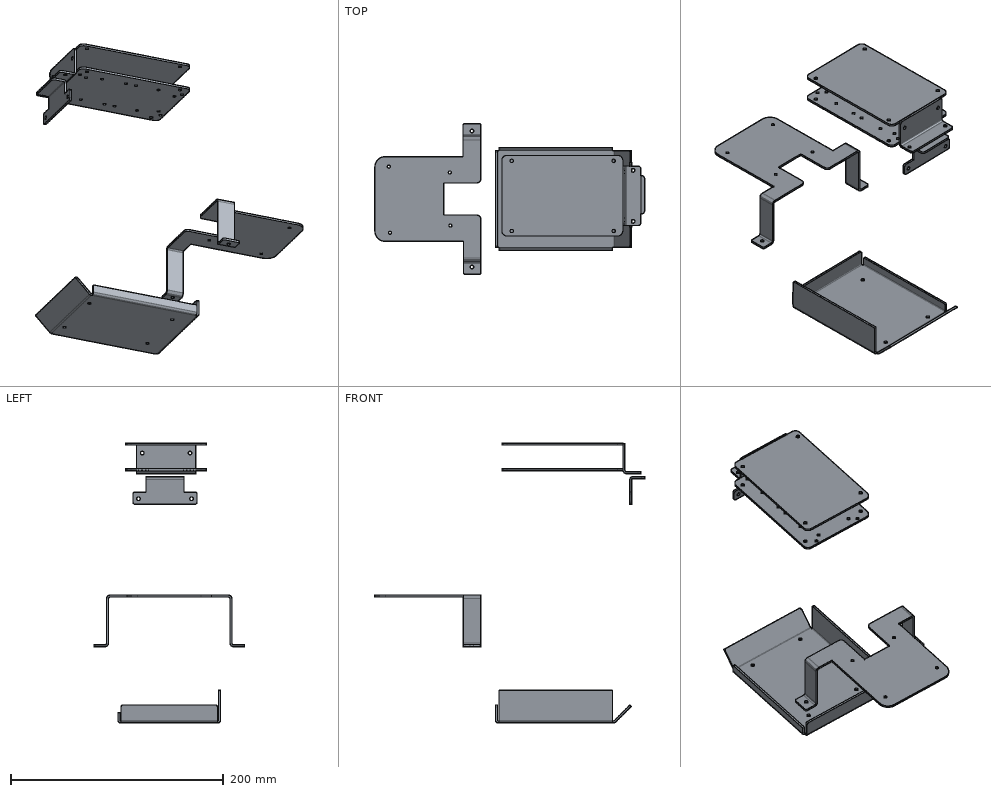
import cadquery as cq
import math


sheet = 2.0
wide_bend = 1.5
tight_bend = 0.5
small_hole = 2.7
medium_hole = 2.8
screw_hole = 3.2
total_height = 263.56

hat_length = 100.0
hat_width = 142.0
hat_height = 48.8
hat_top = 120.5
hat_leg_outer = 59.1
hat_plate_width = 80.0
hat_plate_radius = 10.0
hat_back_arm_width = 17.0
hat_front_arm_width = 16.5
hat_arm_radius = 4.0
hat_notch_depth = 35.0
hat_notch_width = 30.0
hat_foot_radius = 1.5
hat_foot_hole_y = 64.0
hat_board_holes = [(13.3, 30.5), (14.4, -31.9), (70.8, 25.0), (71.3, -25.0)]

tray_left = 113.6
tray_wall_start = 117.0
tray_wall_end = 224.0
tray_width = 96.7
tray_end_width = 91.2
tray_front_height = 31.0
tray_back_height = 10.0
tray_end_height = 17.0
tray_corner_radius = 1.0
tray_end_radius = 2.0
flap_bend_x = 226.1
flap_length = 22.0
flap_angle = math.radians(45)
tray_hole_x = (133.5, 219.2)
tray_hole_pitch_y = 57.0

plate_length = 114.0
plate_width = 76.0
plate_radius = 5.0
plate_x = 176.6
plate_y = 3.15
plate_gap = 22.15
plate_hole_x = 177.0
plate_hole_y = 2.9
plate_hole_pitch_x = 96.0
plate_hole_pitch_y = 66.0
upper_plate_top = total_height
lower_plate_top = upper_plate_top - sheet - plate_gap
board_pitch_x = 58.0
board_pitch_y = 49.0
board_centers = (-25.0, -0.5, 22.5)
left_pair = (-49.0, 17.8)
right_pair = (43.6, 21.0)

z_bracket_left = plate_x + plate_length / 2
z_bracket_y = 2.95
z_bracket_width = 56.0
z_bracket_drop = 0.5
z_bracket_top = upper_plate_top - z_bracket_drop
z_bracket_height = 28.5
z_foot_length = 17.0
z_corner_radius = 2.5
z_foot_hole_x = 243.3
z_foot_hole_pitch = 48.0
z_leg_hole_z = 254.1
z_leg_hole_pitch = 45.0

l_bracket_left = 240.1
l_bracket_right = 254.26
l_bracket_y = 4.0
l_bracket_top = 231.9
l_bracket_height = 26.0
l_tab_width = 36.0
l_tab_radius = 3.0
l_base_width = 60.5
l_base_height = 11.5
l_base_radius = 2.0
l_hole_pitch = 50.0
l_hole_height = 5.2


def rounded_outline(plane, corners):
    """Closed wire through (x, y, radius) corners; each corner with a radius gets a tangent arc."""
    stretches = []
    for index, (x, y, radius) in enumerate(corners):
        corner = cq.Vector(x, y)
        before = corners[index - 1]
        after = corners[(index + 1) % len(corners)]
        to_before = (cq.Vector(before[0], before[1]) - corner).normalized()
        to_after = (cq.Vector(after[0], after[1]) - corner).normalized()
        half_angle = to_before.getAngle(to_after) / 2
        setback = radius / math.tan(half_angle)
        bulge = radius / math.sin(half_angle) - radius
        middle = corner + (to_before + to_after).normalized() * bulge
        stretches.append((corner + to_before * setback, middle, corner + to_after * setback, radius))
    outline = cq.Workplane(plane).moveTo(*stretches[0][0].toTuple()[:2])
    for index, (start, middle, end, radius) in enumerate(stretches):
        if index > 0:
            outline = outline.lineTo(start.x, start.y)
        if radius > 0:
            outline = outline.threePointArc((middle.x, middle.y), (end.x, end.y))
    return outline.close()


def vertical_holes(points, diameter, bottom, top):
    """Cylinders along Z through the given (x, y) points."""
    drills = cq.Workplane("XY", origin=(0, 0, bottom)).pushPoints(points)
    return drills.circle(diameter / 2).extrude(top - bottom)


def lengthwise_holes(points, diameter, start, end):
    """Cylinders along X through the given (y, z) points."""
    drills = cq.Workplane("YZ", origin=(start, 0, 0)).pushPoints(points)
    return drills.circle(diameter / 2).extrude(end - start)


def pair(center, pitch):
    """Two positions spaced evenly about a center."""
    return (center - pitch / 2, center + pitch / 2)


def grid(xs, ys):
    """Every combination of the given coordinates."""
    return [(x, y) for x in xs for y in ys]


def hat_plan_half(arm_width):
    """Plan corners of the half at positive Y, from the notch round to the far end of the plate."""
    notch_x = hat_length - hat_notch_depth
    arm_left = hat_length - arm_width
    foot_end = hat_width / 2
    return [
        (notch_x, hat_notch_width / 2, 0),
        (hat_length, hat_notch_width / 2, hat_arm_radius),
        (hat_length, foot_end, hat_foot_radius),
        (arm_left, foot_end, hat_foot_radius),
        (arm_left, hat_plate_width / 2, 0),
        (0, hat_plate_width / 2, hat_plate_radius),
    ]


def make_hat_bracket():
    """Notched plate on two legs with outward feet: the folded section trimmed to its plan outline."""
    bottom = hat_top - hat_height
    foot_end = hat_width / 2
    leg_inner = hat_leg_outer - sheet
    right_side = [
        (leg_inner, hat_top - sheet, wide_bend),
        (leg_inner, bottom, wide_bend + sheet),
        (foot_end, bottom, 0),
        (foot_end, bottom + sheet, 0),
        (hat_leg_outer, bottom + sheet, wide_bend),
        (hat_leg_outer, hat_top, wide_bend + sheet),
    ]
    left_side = [(-y, z, radius) for y, z, radius in reversed(right_side)]
    folded = rounded_outline("YZ", right_side + left_side).extrude(hat_length)

    back_half = hat_plan_half(hat_back_arm_width)
    front_half = [(x, -y, radius) for x, y, radius in reversed(hat_plan_half(hat_front_arm_width))]
    plan = rounded_outline("XY", back_half + front_half).extrude(hat_top)

    foot_hole_x = hat_length - hat_back_arm_width / 2
    foot_holes = grid([foot_hole_x], (-hat_foot_hole_y, hat_foot_hole_y))
    bracket = folded.intersect(plan)
    bracket = bracket.cut(vertical_holes(foot_holes, screw_hole, 0, hat_top))
    return bracket.cut(vertical_holes(hat_board_holes, small_hole, 0, hat_top))


def round_wall_corners(walls, y, z):
    """Rounds the two upper corners of a side wall whose top edge lies near (y, z)."""
    reach = sheet
    low = (tray_wall_start - reach, y - reach, z - reach / 2)
    high = (tray_wall_end + reach, y + reach, z + reach / 2)
    corners = walls.edges("|Y").edges(cq.selectors.BoxSelector(low, high))
    return corners.fillet(tray_corner_radius)


def make_tray():
    """Floor with side walls, an end wall and a sloping flap at the far end."""
    side = tray_width / 2
    cross_section = [
        (-side, 0, tight_bend + sheet),
        (side, 0, tight_bend + sheet),
        (side, tray_back_height, 0),
        (side - sheet, tray_back_height, 0),
        (side - sheet, sheet, tight_bend),
        (sheet - side, sheet, tight_bend),
        (sheet - side, tray_front_height, 0),
        (-side, tray_front_height, 0),
    ]
    wall_plane = cq.Plane.YZ(origin=(tray_wall_start, 0, 0))
    walls = rounded_outline(wall_plane, cross_section).extrude(tray_wall_end - tray_wall_start)
    walls = round_wall_corners(walls, -side + sheet / 2, tray_front_height)
    walls = round_wall_corners(walls, side - sheet / 2, tray_back_height)

    along_x = math.cos(flap_angle)
    along_z = math.sin(flap_angle)
    tip_x = flap_bend_x + flap_length * along_x
    tip_z = flap_length * along_z
    long_section = [
        (tray_left, 0, tight_bend + sheet),
        (flap_bend_x, 0, tight_bend + sheet),
        (tip_x, tip_z, 0),
        (tip_x - sheet * along_z, tip_z + sheet * along_x, 0),
        (flap_bend_x - sheet * math.tan(flap_angle / 2), sheet, tight_bend),
        (tray_left + sheet, sheet, tight_bend),
        (tray_left + sheet, tray_end_height, 0),
        (tray_left, tray_end_height, 0),
    ]
    ends = rounded_outline("XZ", long_section).extrude(tray_end_width / 2, both=True)
    end_plan = cq.Workplane("YZ", origin=(tray_left, 0, 0))
    blank = end_plan.rect(tray_end_width, 2 * tray_end_height).extrude(tip_x - tray_left)
    blank = blank.edges("|X").fillet(tray_end_radius)
    ends = ends.intersect(blank)
    holes = grid(tray_hole_x, pair(0, tray_hole_pitch_y))
    tray = walls.union(ends)
    return tray.cut(vertical_holes(holes, screw_hole, 0, sheet))


def make_plate(top, extra_holes):
    """Flat plate with rounded corners, four corner holes and any extra holes."""
    bottom = top - sheet
    plate = cq.Workplane("XY", origin=(plate_x, plate_y, bottom)).rect(plate_length, plate_width)
    plate = plate.extrude(sheet).edges("|Z").fillet(plate_radius)
    corner_holes = grid(pair(plate_hole_x, plate_hole_pitch_x), pair(plate_hole_y, plate_hole_pitch_y))
    plate = plate.cut(vertical_holes(corner_holes, screw_hole, bottom, top))
    if extra_holes:
        plate = plate.cut(vertical_holes(extra_holes, medium_hole, bottom, top))
    return plate


def lower_plate_holes():
    """Three overlapping board patterns and two further hole pairs, mirrored across the plate."""
    holes = []
    for center in board_centers:
        holes += grid(pair(plate_hole_x + center, board_pitch_x), pair(plate_hole_y, board_pitch_y))
    for x, y in (left_pair, right_pair):
        holes += grid([plate_hole_x + x], (plate_hole_y - y, plate_hole_y + y))
    return holes


def make_z_bracket():
    """Upright leg against the plate ends, with a foot turned outward at its lower edge."""
    bottom = z_bracket_top - z_bracket_height
    right = z_bracket_left + z_foot_length
    section = [
        (z_bracket_left, bottom, wide_bend + sheet),
        (right, bottom, 0),
        (right, bottom + sheet, 0),
        (z_bracket_left + sheet, bottom + sheet, wide_bend),
        (z_bracket_left + sheet, z_bracket_top, 0),
        (z_bracket_left, z_bracket_top, 0),
    ]
    plane = cq.Plane.XZ(origin=(0, z_bracket_y, 0))
    bracket = rounded_outline(plane, section).extrude(z_bracket_width / 2, both=True)
    bracket = bracket.faces(">X").edges("|Z").fillet(z_corner_radius)
    bracket = bracket.faces(">Z").edges("|X").fillet(z_corner_radius)
    foot_holes = grid([z_foot_hole_x], pair(z_bracket_y, z_foot_hole_pitch))
    leg_holes = grid(pair(z_bracket_y, z_leg_hole_pitch), [z_leg_hole_z])
    bracket = bracket.cut(vertical_holes(foot_holes, screw_hole, bottom, bottom + sheet))
    return bracket.cut(lengthwise_holes(leg_holes, screw_hole, z_bracket_left, z_bracket_left + sheet))


def make_l_bracket():
    """Upright leg widening into a base strip, with a narrower tab turned outward on top."""
    bottom = l_bracket_top - l_bracket_height
    shoulder = bottom + l_base_height
    section = [
        (l_bracket_left, bottom, 0),
        (l_bracket_left + sheet, bottom, 0),
        (l_bracket_left + sheet, l_bracket_top - sheet, tight_bend),
        (l_bracket_right, l_bracket_top - sheet, 0),
        (l_bracket_right, l_bracket_top, 0),
        (l_bracket_left, l_bracket_top, tight_bend + sheet),
    ]
    plane = cq.Plane.XZ(origin=(0, l_bracket_y, 0))
    folded = rounded_outline(plane, section).extrude(l_base_width / 2, both=True)
    half_front = [
        (l_base_width / 2, bottom, l_base_radius),
        (l_base_width / 2, shoulder, l_base_radius),
        (l_tab_width / 2, shoulder, 0),
        (l_tab_width / 2, l_bracket_top, 0),
    ]
    other_half = [(-y, z, radius) for y, z, radius in reversed(half_front)]
    front_plane = cq.Plane.YZ(origin=(l_bracket_left, l_bracket_y, 0))
    front = rounded_outline(front_plane, half_front + other_half).extrude(l_bracket_right - l_bracket_left)
    bracket = folded.intersect(front).faces(">X").edges("|Z").fillet(l_tab_radius)
    holes = grid(pair(l_bracket_y, l_hole_pitch), [bottom + l_hole_height])
    return bracket.cut(lengthwise_holes(holes, screw_hole, l_bracket_left, l_bracket_left + sheet))


hat_bracket = make_hat_bracket()
tray = make_tray()
upper_plate = make_plate(upper_plate_top, [])
lower_plate = make_plate(lower_plate_top, lower_plate_holes())
z_bracket = make_z_bracket()
l_bracket = make_l_bracket()

bodies = [hat_bracket, tray, upper_plate, lower_plate, z_bracket, l_bracket]
result = cq.Compound.makeCompound([body.solids().val() for body in bodies])